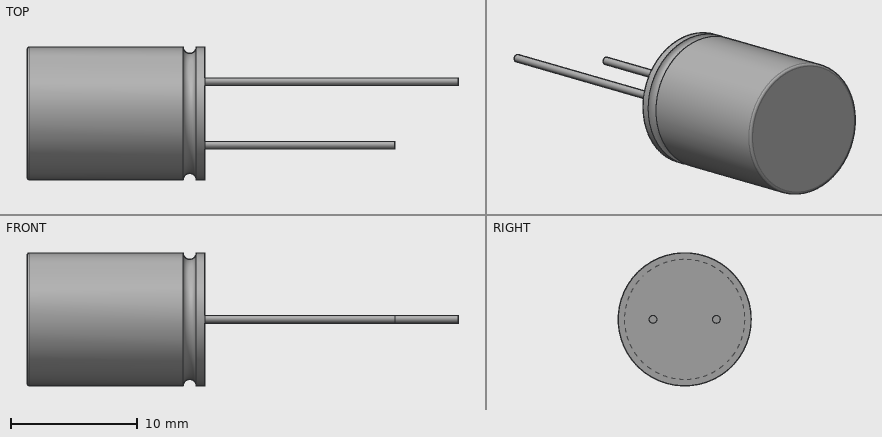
import cadquery as cq

overall_length = 34.0
long_lead_length = 20.0
lead_step = 5.0
can_length = overall_length - long_lead_length
short_lead_length = long_lead_length - lead_step

can_diameter = 10.5
can_radius = can_diameter / 2
closed_end_fillet = 0.2
rim_width = 0.68
groove_radius = 0.5

lead_diameter = 0.6
lead_pitch = 5.0

closed_end_x = -overall_length / 2
sealed_end_x = closed_end_x + can_length
groove_end_x = sealed_end_x - rim_width
groove_middle_x = groove_end_x - groove_radius
groove_start_x = groove_middle_x - groove_radius


def make_can():
    """Solid can turned about X, with a half-round crimp groove behind its rim."""
    half_profile = (
        cq.Workplane("XY")
        .moveTo(closed_end_x, 0)
        .lineTo(closed_end_x, can_radius)
        .lineTo(groove_start_x, can_radius)
        .threePointArc((groove_middle_x, can_radius - groove_radius), (groove_end_x, can_radius))
        .lineTo(sealed_end_x, can_radius)
        .lineTo(sealed_end_x, 0)
        .close()
    )
    can = half_profile.revolve(360, (0, 0, 0), (1, 0, 0))
    return can.faces("<X").edges().fillet(closed_end_fillet)


def make_lead(y, length):
    """Straight round wire that starts on the sealed end and runs along +X."""
    return (
        cq.Workplane("YZ", origin=(sealed_end_x, y, 0))
        .circle(lead_diameter / 2)
        .extrude(length)
    )


can = make_can()

leads = []
for side, length in ((1, long_lead_length), (-1, short_lead_length)):
    leads.append(make_lead(side * lead_pitch / 2, length).val())

result = cq.Compound.makeCompound([can.val(), *leads])